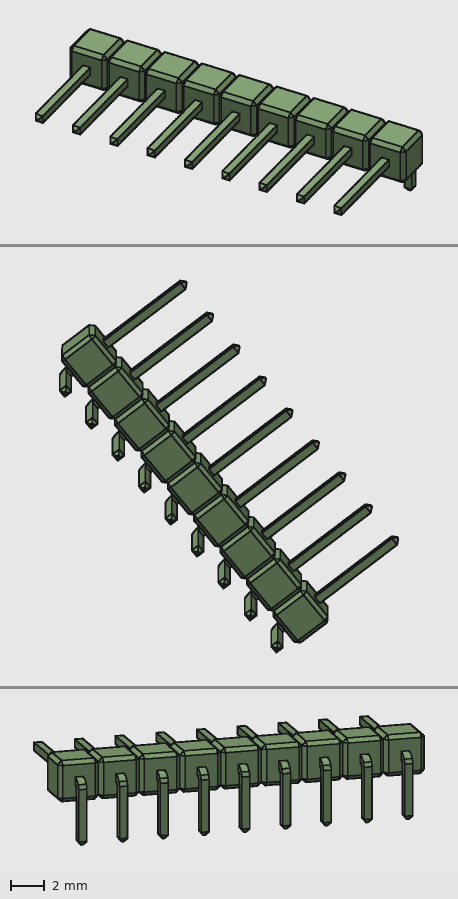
import cadquery as cq

position_count = 9
row_length = 22.85
pitch = row_length / position_count

block_size = pitch
block_chamfer = 0.25

pin_width = 0.5
tip_length = 0.25
tip_flat = 0.11
front_reach = 6.13
leg_drop = block_size
overall_depth = 9.45
rear_reach = overall_depth - front_reach - block_size

bend_points = [(0.0, 0.6), (0.14, 0.32), (0.27, 0.18), (0.41, 0.1), (0.62, 0.02)]
inner_bend = 0.15

block_half = block_size / 2
pin_half = pin_width / 2
leg_rear = block_half + rear_reach
leg_front = leg_rear - pin_width
leg_centre = leg_rear - pin_half
leg_end = -block_half - leg_drop
pin_end = -block_half - front_reach


def make_block():
    """Cube with every edge chamfered."""
    return cq.Workplane("XY").box(block_size, block_size, block_size).edges().chamfer(block_chamfer)


def make_bent_bar():
    """Square bar through the block, bent down at the rear, without its tips."""
    outer_bend = [(leg_rear - inward, pin_half - down) for inward, down in bend_points]
    outline = [
        (pin_end + tip_length, -pin_half),
        (leg_front - inner_bend, -pin_half),
        (leg_front, -pin_half - inner_bend),
        (leg_front, leg_end + tip_length),
        (leg_rear, leg_end + tip_length),
        *outer_bend,
        (block_half, pin_half),
        (pin_end + tip_length, pin_half),
    ]
    return cq.Workplane("YZ").polyline(outline).close().extrude(pin_half, both=True)


def make_tip(base_centre, direction):
    """Blunt pyramid that brings the square bar to a small flat end along the given direction."""
    base = cq.Plane(origin=base_centre, xDir=(1, 0, 0), normal=direction)
    return (
        cq.Workplane(base)
        .rect(pin_width, pin_width)
        .workplane(offset=tip_length)
        .rect(tip_flat, tip_flat)
        .loft(ruled=True)
    )


def make_position():
    """Block and its pin, formed as one body."""
    front_tip = make_tip((0, pin_end + tip_length, 0), (0, -1, 0))
    leg_tip = make_tip((0, leg_centre, leg_end + tip_length), (0, 0, -1))
    return make_block().union(make_bent_bar()).union(front_tip).union(leg_tip)


position = make_position()
positions = []
for index in range(position_count):
    offset = (index - (position_count - 1) / 2) * pitch
    positions.append(position.translate((offset, 0, 0)).val())

result = cq.Compound.makeCompound(positions)